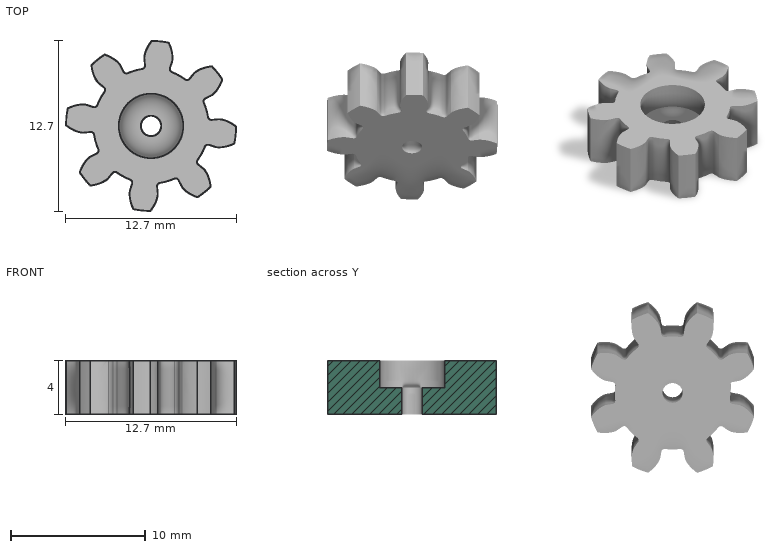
import cadquery as cq
import math

tooth_count = 8
first_tooth_angle = 38.8
tip_radius = 6.34
root_radius = 4.3
width = 4.0

base_radius = 5.06
base_half_angle = 12.0
root_fillet = 0.24
flank_points = 8

counterbore_diameter = 4.8
counterbore_depth = width / 2
hole_diameter = 1.5

tooth_pitch = 360 / tooth_count


def polar(radius, angle):
    """Point at a radius and an angle in degrees."""
    return (radius * math.cos(math.radians(angle)), radius * math.sin(math.radians(angle)))


def flank_half_angle(radius):
    """Half the tooth's angular thickness, in degrees, on the involute at a radius."""
    pressure_angle = math.acos(base_radius / radius)
    return base_half_angle - math.degrees(math.tan(pressure_angle) - pressure_angle)


def involute(centre_angle, side):
    """Flank points from the base circle to the tip; side is -1 or +1 of the centreline."""
    points = []
    for i in range(flank_points):
        radius = base_radius + (tip_radius - base_radius) * i / (flank_points - 1)
        points.append(polar(radius, centre_angle + side * flank_half_angle(radius)))
    return points


fillet_centre_radius = root_radius + root_fillet
fillet_sweep = math.degrees(math.asin(root_fillet / fillet_centre_radius))
fillet_top_radius = fillet_centre_radius * math.cos(math.radians(fillet_sweep))
fillet_end_half_angle = base_half_angle + fillet_sweep


def fillet_middle(centre_angle, side):
    """Point halfway along the root fillet on one side of a tooth."""
    flank_angle = centre_angle + side * base_half_angle
    root_angle = centre_angle + side * fillet_end_half_angle
    arc_centre = polar(fillet_centre_radius, root_angle)
    towards_flank = flank_angle - side * 90
    towards_root = root_angle - side * 180
    offset = polar(root_fillet, (towards_flank + towards_root) / 2)
    return (arc_centre[0] + offset[0], arc_centre[1] + offset[1])


def add_tooth(outline, centre_angle):
    """Extend the outline counter-clockwise over one tooth and the root that follows it."""
    rising = involute(centre_angle, -1)
    falling = involute(centre_angle, 1)[::-1]
    next_root_start = centre_angle + tooth_pitch - fillet_end_half_angle
    return (
        outline
        .threePointArc(fillet_middle(centre_angle, -1),
                       polar(fillet_top_radius, centre_angle - base_half_angle))
        .lineTo(*rising[0])
        .spline(rising[1:], includeCurrent=True)
        .threePointArc(polar(tip_radius, centre_angle), falling[0])
        .spline(falling[1:], includeCurrent=True)
        .lineTo(*polar(fillet_top_radius, centre_angle + base_half_angle))
        .threePointArc(fillet_middle(centre_angle, 1),
                       polar(root_radius, centre_angle + fillet_end_half_angle))
        .threePointArc(polar(root_radius, centre_angle + tooth_pitch / 2),
                       polar(root_radius, next_root_start))
    )


outline = cq.Workplane("XY").moveTo(*polar(root_radius, first_tooth_angle - fillet_end_half_angle))
for tooth in range(tooth_count):
    outline = add_tooth(outline, first_tooth_angle + tooth * tooth_pitch)
gear = outline.close().extrude(width)

top_face = gear.faces(">Z").workplane(origin=(0, 0, width))
result = top_face.cboreHole(hole_diameter, counterbore_diameter, counterbore_depth)